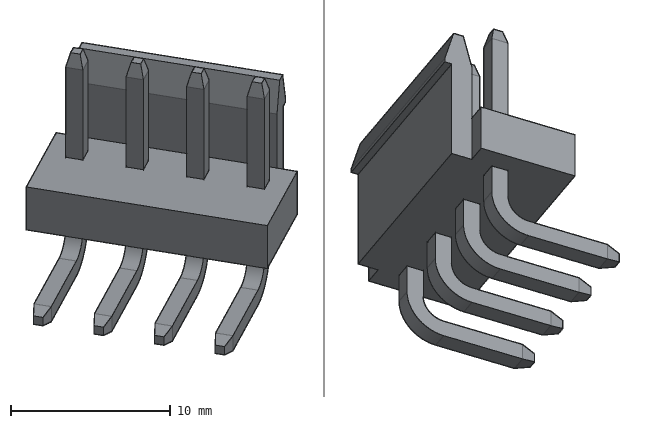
import cadquery as cq
import math


pin_count = 4
pin_pitch = 3.96
pin_width = 1.14

pin_top = 10.89
pin_bottom = -4.58
pin_reach = 8.5
bend_inner_radius = 1.44
bend_outer_radius = bend_inner_radius + pin_width
tip_length = 0.98
tip_width = 0.63

base_length = 15.78
base_height = 3.2
base_front = -4.58
base_back = 2.0
base_depth = base_back - base_front

latch_length = 13.13
latch_height = 9.39
latch_thickness = 1.4
latch_back = base_back + latch_thickness

hook_overhang = 0.49
hook_back = latch_back + hook_overhang
hook_underside = 6.96
hook_shoulder = 7.23
hook_back_run = 0.63
hook_front_run = 0.58


def pin_x(index):
    """X position of a pin in the centred row."""
    return (index - (pin_count - 1) / 2) * pin_pitch


def make_base():
    """Rectangular block that carries the pins."""
    return (
        cq.Workplane("XY")
        .center(0, (base_front + base_back) / 2)
        .rect(base_length, base_depth)
        .extrude(base_height)
    )


def make_latch():
    """Wall with a barbed top edge, drawn in YZ and extruded along X."""
    profile = [
        (base_back, 0),
        (latch_back, 0),
        (latch_back, hook_underside),
        (hook_back, hook_underside),
        (hook_back, hook_shoulder),
        (hook_back - hook_back_run, latch_height),
        (base_back + hook_front_run, latch_height),
        (base_back, hook_shoulder),
    ]
    start_plane = cq.Workplane("YZ", origin=(-latch_length / 2, 0, 0))
    return start_plane.polyline(profile).close().extrude(latch_length)


def make_pin_holes():
    """Square cutters that fit the upright pin legs."""
    centres = [(pin_x(index), 0) for index in range(pin_count)]
    return cq.Workplane("XY").pushPoints(centres).rect(pin_width, pin_width).extrude(base_height)


def make_housing():
    """Base and latch in one piece, with a through hole for each pin."""
    return make_base().union(make_latch()).cut(make_pin_holes())


def make_pin_shaft():
    """Square bar with one bend, drawn in YZ and extruded along X, without its tips."""
    half = pin_width / 2
    leg_top = pin_top - tip_length
    leg_end = -pin_reach + tip_length
    inner_z = pin_bottom + pin_width
    bend_y = half - bend_outer_radius
    bend_z = pin_bottom + bend_outer_radius
    diagonal = math.sqrt(0.5)
    outer_mid = (bend_y + bend_outer_radius * diagonal, bend_z - bend_outer_radius * diagonal)
    inner_mid = (bend_y + bend_inner_radius * diagonal, bend_z - bend_inner_radius * diagonal)
    return (
        cq.Workplane("YZ", origin=(-half, 0, 0))
        .moveTo(half, leg_top)
        .lineTo(half, bend_z)
        .threePointArc(outer_mid, (bend_y, pin_bottom))
        .lineTo(leg_end, pin_bottom)
        .lineTo(leg_end, inner_z)
        .lineTo(bend_y, inner_z)
        .threePointArc(inner_mid, (-half, bend_z))
        .lineTo(-half, leg_top)
        .close()
        .extrude(pin_width)
    )


def make_tip(base_plane):
    """Square pyramid stump that narrows along the plane's normal."""
    return (
        cq.Workplane(base_plane)
        .rect(pin_width, pin_width)
        .workplane(offset=tip_length)
        .rect(tip_width, tip_width)
        .loft(ruled=True)
    )


def make_pin(index):
    """Bent pin with both ends tapered, placed in the row."""
    leg_axis_z = pin_bottom + pin_width / 2
    top_plane = cq.Plane(origin=(0, 0, pin_top - tip_length))
    end_plane = cq.Plane(
        origin=(0, -pin_reach + tip_length, leg_axis_z),
        xDir=(1, 0, 0),
        normal=(0, -1, 0),
    )
    pin = make_pin_shaft().union(make_tip(top_plane)).union(make_tip(end_plane))
    return pin.translate((pin_x(index), 0, 0))


housing = make_housing()
pins = [make_pin(index) for index in range(pin_count)]

result = cq.Compound.makeCompound([housing.val(), *[pin.val() for pin in pins]])